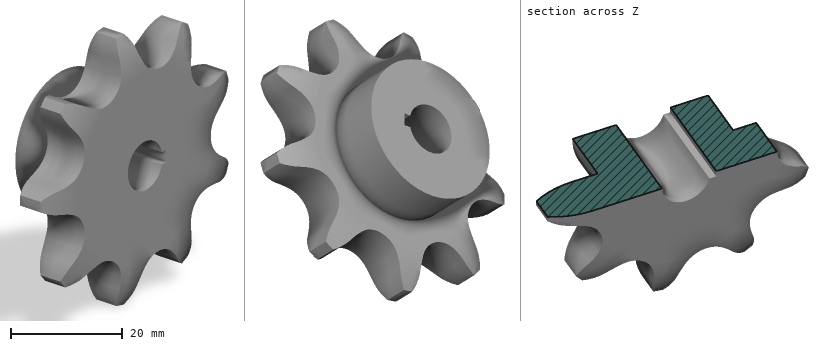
import cadquery as cq
import math


INCH = 25.4
tooth_count = 9
pitch = 5 / 8 * INCH
roller_diameter = 0.400 * INCH

overall_length = 19.05
plate_thickness = 0.343 * INCH
hub_diameter = 27.0
bore_diameter = 3 / 8 * INCH
keyway_width = 3 / 32 * INCH
keyway_reach = 5.95

half_pitch_angle = 180 / tooth_count
pitch_radius = pitch / (2 * math.sin(math.radians(half_pitch_angle)))
outside_radius = pitch / 2 * (0.6 + 1 / math.tan(math.radians(half_pitch_angle)))

seating_radius = (1.005 * roller_diameter + 0.003 * INCH) / 2
seating_angle = 35 + 60 / tooth_count
working_angle = 18 - 56 / tooth_count
flank_angle = seating_angle - working_angle
working_center_distance = 0.8 * roller_diameter
topping_center_distance = 1.4 * roller_diameter
working_radius = working_center_distance + seating_radius

rounding_depth = 0.5 * pitch
rounding_width = 0.125 * pitch
rounding_radius = (rounding_depth**2 + rounding_width**2) / (2 * rounding_width)


def step(start, distance, angle):
    """Point at a distance and angle (degrees) from a start point."""
    turn = math.radians(angle)
    return (start[0] + distance * math.cos(turn), start[1] + distance * math.sin(turn))


def half_gap_points():
    """Points of half a tooth gap, from seating arc to tooth tip.

    The gap lies on the +x ray of the sprocket, and this half on its +y side.
    The points follow the seating arc, working arc, straight flank and topping arc.
    """
    form_turn = 90
    roller = (pitch_radius, 0)

    seating_end_angle = form_turn + seating_angle
    working_center = step(roller, working_center_distance, seating_end_angle - 180)
    flank_normal = form_turn + flank_angle
    topping_center = step(roller, topping_center_distance, form_turn + half_pitch_angle)
    topping_radius = (
        working_center_distance * math.cos(math.radians(working_angle))
        + topping_center_distance * math.cos(math.radians(flank_angle - half_pitch_angle))
        - working_radius
    )

    center_distance = math.hypot(*topping_center)
    center_angle = math.degrees(math.atan2(topping_center[1], topping_center[0]))
    cosine = (outside_radius**2 + center_distance**2 - topping_radius**2) / (
        2 * outside_radius * center_distance
    )
    tip = step((0, 0), outside_radius, center_angle - math.degrees(math.acos(cosine)))
    topping_start_angle = flank_normal - 180
    topping_end_angle = math.degrees(
        math.atan2(tip[1] - topping_center[1], tip[0] - topping_center[0])
    )

    return [
        (pitch_radius - seating_radius, 0),
        step(roller, seating_radius, seating_end_angle),
        step(working_center, working_radius, seating_end_angle - working_angle / 2),
        step(working_center, working_radius, flank_normal),
        step(topping_center, topping_radius, topping_start_angle),
        step(topping_center, topping_radius, (topping_start_angle + topping_end_angle) / 2),
        tip,
    ]


def make_tooth_gap(index):
    """Cutter for one tooth gap, through the plate."""
    root, seat_end, work_mid, work_end, top_start, top_mid, tip = half_gap_points()
    clear_of_tip = 2 * outside_radius - pitch_radius

    def mirrored(point):
        return (point[0], -point[1])

    gap = (
        cq.Workplane("YZ")
        .moveTo(*tip)
        .threePointArc(top_mid, top_start)
        .lineTo(*work_end)
        .threePointArc(work_mid, seat_end)
        .threePointArc(root, mirrored(seat_end))
        .threePointArc(mirrored(work_mid), mirrored(work_end))
        .lineTo(*mirrored(top_start))
        .threePointArc(mirrored(top_mid), mirrored(tip))
        .lineTo(clear_of_tip, -tip[1])
        .lineTo(clear_of_tip, tip[1])
        .close()
        .extrude(overall_length)
    )
    return gap.rotate((0, 0, 0), (1, 0, 0), index * 2 * half_pitch_angle)


def make_plate_blank():
    """Disc with its rim rounded on both faces."""
    plate_start = overall_length - plate_thickness
    rounding_start = outside_radius - rounding_depth
    half_sweep = math.asin(rounding_depth / rounding_radius) / 2
    mid_radius = rounding_start + rounding_radius * math.sin(half_sweep)
    mid_width = rounding_radius * (1 - math.cos(half_sweep))
    return (
        cq.Workplane("XY")
        .moveTo(plate_start, 0)
        .lineTo(plate_start, rounding_start)
        .threePointArc(
            (plate_start + mid_width, mid_radius),
            (plate_start + rounding_width, outside_radius),
        )
        .lineTo(overall_length - rounding_width, outside_radius)
        .threePointArc(
            (overall_length - mid_width, mid_radius),
            (overall_length, rounding_start),
        )
        .lineTo(overall_length, 0)
        .close()
        .revolve(360, (0, 0, 0), (1, 0, 0))
    )


def make_toothed_plate():
    """Rounded disc with every tooth gap cut out."""
    plate = make_plate_blank()
    for index in range(tooth_count):
        plate = plate.cut(make_tooth_gap(index))
    return plate


def make_hub():
    """Cylinder along the full length, standing out on the -X side."""
    return cq.Workplane("YZ").circle(hub_diameter / 2).extrude(overall_length)


def make_keyed_bore():
    """Through bore with a rectangular keyway on the +Y side."""
    bore = cq.Workplane("YZ").circle(bore_diameter / 2).extrude(overall_length)
    keyway = (
        cq.Workplane("YZ")
        .center(keyway_reach / 2, 0)
        .rect(keyway_reach, keyway_width)
        .extrude(overall_length)
    )
    return bore.union(keyway)


result = make_toothed_plate().union(make_hub()).cut(make_keyed_bore())